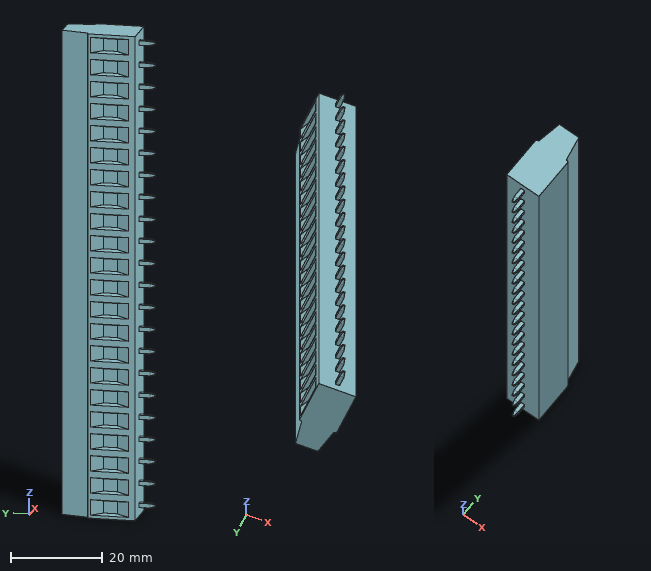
import cadquery as cq

pole_count = 22
housing_height = 110.0
pole_pitch = housing_height / pole_count
housing_width = 8.9
housing_depth = 16.8
shoulder_y = 10.6
nose_root_y = 10.9
nose_root_width = 7.6
nose_tip_width = 5.4

funnel_start_y = 1.5
funnel_end_y = 10.0
funnel_height = 3.5
funnel_floor_length = 3.1
funnel_floor_height = 2.8
funnel_depth = 1.0

pin_length = 3.5
pin_size = 1.0
pin_tip_size = 0.4
pin_tip_length = 1.1
pin_embed = 1.1


def make_housing():
    half_width = housing_width / 2
    half_root = nose_root_width / 2
    half_tip = nose_tip_width / 2
    outline = [
        (-half_width, 0),
        (half_width, 0),
        (half_width, shoulder_y),
        (half_root, nose_root_y),
        (half_tip, housing_depth),
        (-half_tip, housing_depth),
        (-half_root, nose_root_y),
        (-half_width, shoulder_y),
    ]
    return cq.Workplane("XY").polyline(outline).close().extrude(housing_height)


def make_funnel(z):
    center_y = (funnel_start_y + funnel_end_y) / 2
    return (
        cq.Workplane("YZ", origin=(-housing_width / 2, center_y, z))
        .rect(funnel_end_y - funnel_start_y, funnel_height)
        .workplane(offset=funnel_depth)
        .rect(funnel_floor_length, funnel_floor_height)
        .loft(combine=True)
    )


def make_pin(z):
    straight_length = pin_length - pin_tip_length
    shank = (
        cq.Workplane("XZ", origin=(0, pin_embed, z))
        .rect(pin_size, pin_size)
        .extrude(pin_embed + straight_length)
    )
    tip = (
        cq.Workplane("XZ", origin=(0, -straight_length, z))
        .rect(pin_size, pin_size)
        .workplane(offset=pin_tip_length)
        .rect(pin_tip_size, pin_tip_size)
        .loft(combine=True)
    )
    return shank.union(tip)


result = make_housing()
for pole in range(pole_count):
    pole_z = (pole + 0.5) * pole_pitch
    result = result.cut(make_funnel(pole_z))
    result = result.union(make_pin(pole_z))